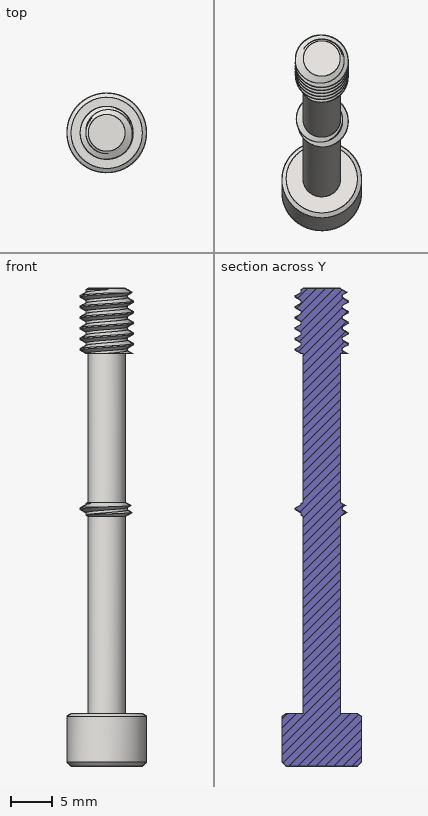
import cadquery as cq
import math

total_length = 57.15
head_diameter = 9.55
head_height = 6.35
head_top_chamfer_width = 0.5
head_top_chamfer_height = 0.35
head_bottom_chamfer = 0.5
shank_diameter = 4.5
tip_end_diameter = 4.4

major_diameter = 6.35
pitch = major_diameter / 5
flank_angle = math.radians(30)
crest_width = pitch / 8
root_width = pitch / 4
end_cone_angle = math.radians(30)
root_phase_height = 56.2

thread_bottom = 49.3
collar_bottom = 29.9
collar_top = 31.55

major_radius = major_diameter / 2
groove_depth = (pitch - crest_width - root_width) / 2 / math.tan(flank_angle)
minor_radius = major_radius - groove_depth
groove_overshoot = 0.05


def revolve_outline(points):
    """Turn an (R, Z) outline once around the Z axis."""
    return cq.Workplane("XZ").polyline(points).close().revolve(360, (0, 0, 0), (0, 1, 0))


def make_head():
    radius = head_diameter / 2
    return revolve_outline([
        (0, 0),
        (radius - head_bottom_chamfer, 0),
        (radius, head_bottom_chamfer),
        (radius, head_height - head_top_chamfer_height),
        (radius - head_top_chamfer_width, head_height),
        (0, head_height),
    ])


def cone_height(end_diameter):
    """Height of the cone from a flat end out to the major diameter."""
    return (major_radius - end_diameter / 2) * math.tan(end_cone_angle)


def make_groove(bottom, top):
    """Helical V-groove running at least one turn past both ends of a band."""
    start_turn = math.floor((bottom - root_phase_height) / pitch) - 1
    start = root_phase_height + start_turn * pitch
    length = (math.ceil((top - start) / pitch) + 1) * pitch
    path = cq.Workplane(cq.Wire.makeHelix(pitch, length, major_radius, cq.Vector(0, 0, start)))
    tool_radius = major_radius + groove_overshoot
    root_half = root_width / 2
    mouth_half = root_half + (tool_radius - minor_radius) * math.tan(flank_angle)
    profile = (
        cq.Workplane("XZ")
        .moveTo(minor_radius, start - root_half)
        .lineTo(tool_radius, start - mouth_half)
        .lineTo(tool_radius, start + mouth_half)
        .lineTo(minor_radius, start + root_half)
        .close()
    )
    return profile.sweep(path, isFrenet=True)


def make_threaded_tip():
    blank = revolve_outline([
        (0, thread_bottom),
        (major_radius, thread_bottom),
        (major_radius, total_length - cone_height(tip_end_diameter)),
        (tip_end_diameter / 2, total_length),
        (0, total_length),
    ])
    return blank.cut(make_groove(thread_bottom, total_length))


def make_collar():
    """Short threaded band, coned at both ends."""
    end_radius = shank_diameter / 2
    cone = cone_height(shank_diameter)
    blank = revolve_outline([
        (0, collar_bottom),
        (end_radius, collar_bottom),
        (major_radius, collar_bottom + cone),
        (major_radius, collar_top - cone),
        (end_radius, collar_top),
        (0, collar_top),
    ])
    return blank.cut(make_groove(collar_bottom, collar_top))


shank = cq.Workplane("XY").circle(shank_diameter / 2).extrude(thread_bottom)
result = shank.union(make_head()).union(make_threaded_tip()).union(make_collar())